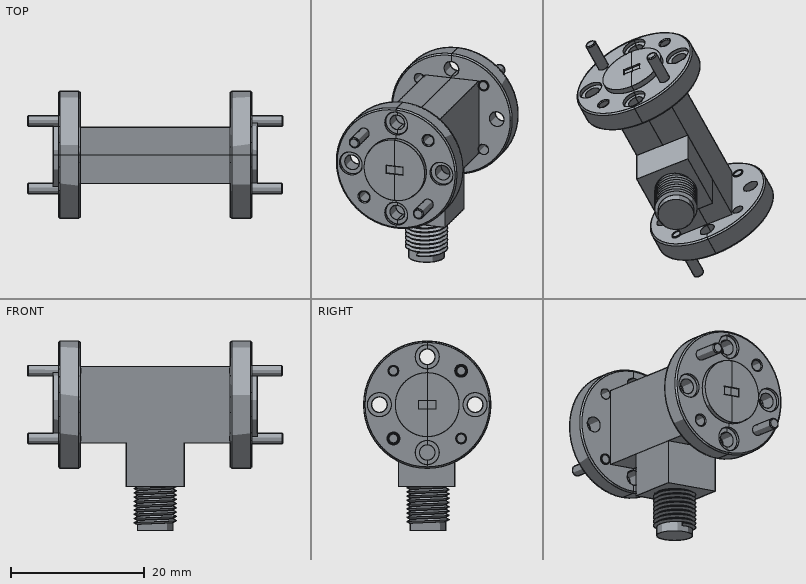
import cadquery as cq
import math

flange_diameter = 19.05
flange_top_z = flange_diameter / 2
flange_thickness = 3.25
flange_outer_x = 14.45
flange_inner_x = flange_outer_x - flange_thickness
flange_chamfer = 0.23
boss_diameter = 9.55
boss_height = 0.8

window_width = 2.65
window_height = 1.25
window_depth = 0.23

bolt_circle_radius = 7.15
screw_hole_diameter = 2.3
screw_seat_diameter = 3.6
screw_seat_depth = 0.55
screw_angles = [0, 90, 180, 270]
pin_angles = [135, 315]
open_hole_angles = [45, 225]
pin_diameter = 1.6
pin_chamfer = 0.15
hole_chamfer = 0.15
hole_chamfer_angle = 45
pin_hole_overrun = 0.1

pin_tip_x = 19.1
short_pin_tip_x = 19.0
right_pin_tips = [short_pin_tip_x, pin_tip_x]

block_height = 11.45
block_back_y = 4.13
block_front_y = -4.32
block_bottom_z = -block_height / 2
leg_width = 8.7
leg_bottom_z = -12.25

overall_height = 28.33
connector_bottom_z = flange_top_z - overall_height
connector_y = 0.1
core_depth_in_leg = 1.15
core_radius = 2.68
thread_radius = 3.17
thread_length = 5.55
thread_turns = 8.7
thread_pitch = thread_length / thread_turns
thread_start_z = -17.65
thread_root_width = 0.6
thread_root_overlap = 0.05
thread_start_angle = 170


def box_between(x_range, y_range, z_range):
    """Box given by its lower and upper limits along each axis."""
    sizes = [high - low for low, high in (x_range, y_range, z_range)]
    corner = (x_range[0], y_range[0], z_range[0])
    return cq.Workplane("XY").box(*sizes, centered=False).translate(corner)


def on_bolt_circle(angle):
    """(Y, Z) of a bolt-circle position, with the angle measured from +Y toward +Z."""
    turn = math.radians(angle)
    return bolt_circle_radius * math.cos(turn), bolt_circle_radius * math.sin(turn)


def turned_end_for_end(body):
    """The body turned half way round the Z axis, from the +X end to the -X end."""
    return body.rotate((0, 0, 0), (0, 0, 1), 180)


def flange():
    """The +X flange with its boss, window and screw holes."""
    disc = (
        cq.Workplane("YZ", origin=(flange_inner_x, 0, 0))
        .circle(flange_diameter / 2)
        .extrude(flange_thickness)
        .edges()
        .chamfer(flange_chamfer)
    )
    outer_face = cq.Workplane("YZ", origin=(flange_outer_x, 0, 0))
    boss_face = cq.Workplane("YZ", origin=(flange_outer_x + boss_height, 0, 0))
    boss = outer_face.circle(boss_diameter / 2).extrude(boss_height)
    window = boss_face.rect(window_width, window_height).extrude(-window_depth)

    screw_places = outer_face.pushPoints([on_bolt_circle(a) for a in screw_angles])
    screw_holes = screw_places.circle(screw_hole_diameter / 2).extrude(-flange_thickness)
    screw_seats = screw_places.circle(screw_seat_diameter / 2).extrude(-screw_seat_depth)

    drilled = disc.cut(screw_holes).cut(screw_seats)
    return drilled.union(boss).cut(window)


def pin_hole_cutters():
    """Pin holes of the +X flange, just past its inner face, with chamfers on the open holes."""
    outer_face = cq.Workplane("YZ", origin=(flange_outer_x, 0, 0))
    all_places = outer_face.pushPoints([on_bolt_circle(a) for a in pin_angles + open_hole_angles])
    holes = all_places.circle(pin_diameter / 2).extrude(-flange_thickness - pin_hole_overrun)
    open_places = outer_face.pushPoints([on_bolt_circle(a) for a in open_hole_angles])
    mouth_radius = pin_diameter / 2 + hole_chamfer
    mouths = open_places.circle(mouth_radius).extrude(-hole_chamfer, taper=hole_chamfer_angle)
    return holes.union(mouths)


def flanged_block():
    """The block and both flanges in one piece, before it is split."""
    block = box_between(
        (-flange_inner_x, flange_inner_x),
        (block_front_y, block_back_y),
        (block_bottom_z, -block_bottom_z),
    )
    right_flange = flange()
    left_flange = turned_end_for_end(right_flange)
    right_holes = pin_hole_cutters()
    left_holes = turned_end_for_end(right_holes)
    return block.union(right_flange).union(left_flange).cut(right_holes).cut(left_holes)


def connector():
    """Round core with a right-hand V thread; the top ends of both reach up into the leg."""
    core = (
        cq.Workplane("XY", origin=(0, 0, connector_bottom_z))
        .circle(core_radius)
        .extrude(leg_bottom_z + core_depth_in_leg - connector_bottom_z)
    )
    path = cq.Wire.makeHelix(thread_pitch, thread_length, core_radius)
    root_radius = core_radius - thread_root_overlap
    ridge = (
        cq.Workplane("XZ")
        .moveTo(root_radius, -thread_root_width / 2)
        .lineTo(thread_radius, 0)
        .lineTo(root_radius, thread_root_width / 2)
        .close()
        .sweep(cq.Workplane(path), isFrenet=True)
        .rotate((0, 0, 0), (0, 0, 1), thread_start_angle)
        .translate((0, 0, thread_start_z))
    )
    return core.union(ridge, clean=False).translate((0, connector_y, 0))


def housing_half(side):
    """Half of the flanged block on one side (+1 or -1) of the Y = 0 split plane."""
    reach = flange_diameter
    y_range = (0, reach) if side > 0 else (-reach, 0)
    return flanged_block().intersect(box_between((-reach, reach), y_range, (-reach, reach)))


def front_housing():
    """Housing half on the -Y side, which carries the whole leg and the connector."""
    leg = box_between(
        (-leg_width / 2, leg_width / 2),
        (block_front_y, block_back_y),
        (leg_bottom_z, block_bottom_z),
    )
    return housing_half(-1).union(leg).union(connector(), clean=False)


def dowel_pin(angle, tip_x):
    """Dowel pin in the +X flange, chamfered at both ends and flush with the flange's inner face."""
    return (
        cq.Workplane("YZ", origin=(flange_inner_x, 0, 0))
        .center(*on_bolt_circle(angle))
        .circle(pin_diameter / 2)
        .extrude(tip_x - flange_inner_x)
        .faces("|X")
        .chamfer(pin_chamfer)
    )


back_half = housing_half(1)
front_half = front_housing()
right_pins = [dowel_pin(angle, tip_x) for angle, tip_x in zip(pin_angles, right_pin_tips)]
left_pins = [turned_end_for_end(dowel_pin(angle, pin_tip_x)) for angle in pin_angles]
pin_solids = [pin.val() for pin in right_pins + left_pins]

result = cq.Compound.makeCompound([back_half.val(), front_half.val(), *pin_solids])